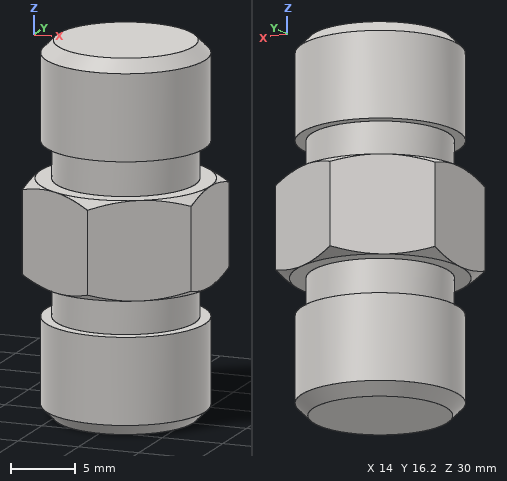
import cadquery as cq
import math

total_length = 30.0
end_diameter = 13.17
end_length = 8.0
end_chamfer = 1.0
neck_diameter = 11.45
hex_across_flats = 14.0
hex_height = 8.0
hex_chamfer_angle = 30.0

hex_across_corners = hex_across_flats / math.cos(math.radians(30))
corner_overhang = (hex_across_corners - hex_across_flats) / 2
corner_drop = corner_overhang * math.tan(math.radians(hex_chamfer_angle))


def cylinder(diameter, length):
    """Cylinder along Z, centred on the origin."""
    return cq.Workplane("XY").circle(diameter / 2).extrude(length / 2, both=True)


def end_cylinder(side):
    """Plain end with a chamfered outer rim; side is +1 for top, -1 for bottom."""
    centre_height = side * (total_length - end_length) / 2
    rim = ">Z" if side > 0 else "<Z"
    return (
        cylinder(end_diameter, end_length)
        .faces(rim)
        .chamfer(end_chamfer)
        .translate((0, 0, centre_height))
    )


def hexagon_collar():
    """Hexagon with corners on Y, its corners bevelled by a cone at both ends."""
    prism = (
        cq.Workplane("XY")
        .polygon(6, hex_across_corners)
        .extrude(hex_height / 2, both=True)
        .rotate((0, 0, 0), (0, 0, 1), 90)
    )
    bevel_envelope = (
        cq.Workplane("XZ")
        .moveTo(0, -hex_height / 2)
        .lineTo(hex_across_flats / 2, -hex_height / 2)
        .lineTo(hex_across_corners / 2, -hex_height / 2 + corner_drop)
        .lineTo(hex_across_corners / 2, hex_height / 2 - corner_drop)
        .lineTo(hex_across_flats / 2, hex_height / 2)
        .lineTo(0, hex_height / 2)
        .close()
        .revolve(360, (0, 0, 0), (0, 1, 0))
    )
    return prism.intersect(bevel_envelope)


neck_core = cylinder(neck_diameter, total_length - 2 * end_length)
result = neck_core.union(hexagon_collar())
for side in (1, -1):
    result = result.union(end_cylinder(side))